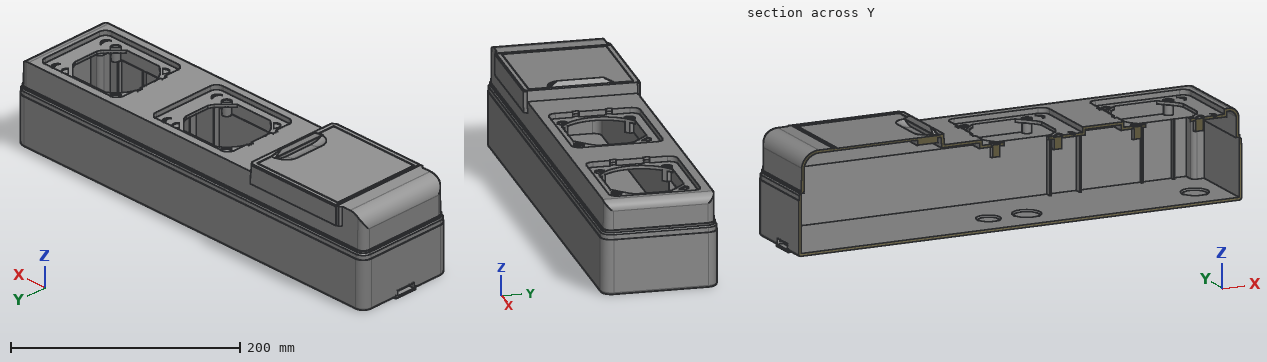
import cadquery as cq
import math

LENGTH = 430.0
WIDTH = 105.0
TOTAL_HEIGHT = 100.05
MID_X = LENGTH / 2
WALL = 3.0
CORNER_INSET = 10.0
OVERSHOOT = 5.0

FOOT_HEIGHT = 1.0
FLOOR_TOP = 4.0
RIM_BOTTOM = 52.0
RIM_STEP = 0.5
RIM_CHAMFER = 1.5
BASE_BOTTOM_FILLET = 2.5
SEAM_Z = 58.0

COVER_INSET = 2.7
SKIRT_INSET = 1.8
SKIRT_TOP = 60.0
COVER_TAPER = 0.5
DECK_Z = 85.8
HOOD_Z = 95.5
HOOD_ROUND = 17.0
DECK_ROUND = 10.0

LID_START = 29.0
LID_BOTTOM_Z = 75.6
LID_END_TOP = 141.0
LID_END_BOTTOM = 143.0
HINGE_END = 34.0
HINGE_INSET = 1.0
LID_CORNER_CHAMFER = 2.0
LID_FRONT_CHAMFER = 3.0
LID_EDGE_CHAMFER = 1.0
PANEL_X = (37.0, 136.4)
PANEL_HALF_WIDTH = 47.0
PANEL_DEPTH = 0.5
HINGE_GROOVE = 1.0


def rounded_block(inset, z_low, z_high, taper=0.0):
    """Upright block with the common outline drawn in by inset, corners rounded."""
    return (
        cq.Workplane("XY", origin=(MID_X, 0, z_low))
        .sketch()
        .rect(LENGTH - 2 * inset, WIDTH - 2 * inset)
        .vertices()
        .fillet(CORNER_INSET - inset)
        .finalize()
        .extrude(z_high - z_low, taper=taper)
    )


def box(x_range, y_range, z_range):
    """Axis-aligned box between the given limits."""
    size = [high - low for low, high in (x_range, y_range, z_range)]
    corner = (x_range[0], y_range[0], z_range[0])
    return cq.Workplane("XY").box(*size, centered=False).translate(corner)


def extruded_along_y(outline, half_width):
    """Extrude an XZ outline symmetrically about y = 0."""
    return outline.extrude(half_width, both=True)


FOOT_X = (82.0, 400.0)
FOOT_Y = 43.5
FOOT_DIAMETER = 8.5
PAD_HALF_WIDTH = 12.3
PADS_X = ((0.0, 33.0), (188.0, 218.0))
LATCH_HALF_WIDTH = 10.0
LATCH_Z = (2.0, 7.5)
LATCH_DEPTH = 6.0
KNOCKOUTS = ((200.0, 11.0), (237.0, 13.0), (400.0, 12.5))
KNOCKOUT_DEPTH = 1.5
RIB_THICKNESS = 1.5
WALL_OVERLAP = 0.5
RIBS = ((280.5, 6.0), (309.0, 7.0), (371.0, 3.0), (401.0, 4.0))
POST_X = 415.5
POST_Y = 37.0
POST_ROUND = 4.5


def make_ribs():
    """Thin upright ribs on the inside of both side walls."""
    ribs = cq.Workplane("XY")
    wall_y = WIDTH / 2 - WALL
    for x, reach in RIBS:
        rib = box((x, x + RIB_THICKNESS), (wall_y - reach, wall_y + WALL_OVERLAP), (FLOOR_TOP, SEAM_Z))
        ribs = ribs.union(rib).union(rib.mirror("XZ"))
    return ribs


def make_corner_posts():
    """Solid fillings of the two far inner corners."""
    post = (
        box((POST_X, LENGTH), (POST_Y, WIDTH / 2), (FLOOR_TOP, SEAM_Z))
        .edges("|Z and <X and <Y")
        .fillet(POST_ROUND)
        .intersect(rounded_block(WALL - WALL_OVERLAP, FLOOR_TOP, SEAM_Z))
    )
    return post.union(post.mirror("XZ"))


def make_base():
    body = rounded_block(0, FOOT_HEIGHT, RIM_BOTTOM).faces("<Z").edges().fillet(BASE_BOTTOM_FILLET)
    rim = rounded_block(RIM_STEP, RIM_BOTTOM, SEAM_Z).faces(">Z").edges().chamfer(RIM_CHAMFER)
    base = body.union(rim).cut(rounded_block(WALL, FLOOR_TOP, SEAM_Z))

    feet = (
        cq.Workplane("XY")
        .pushPoints([(x, side * FOOT_Y) for x in FOOT_X for side in (-1, 1)])
        .circle(FOOT_DIAMETER / 2)
        .extrude(FLOOR_TOP)
    )
    base = base.union(feet)
    for pad_x in PADS_X:
        base = base.union(box(pad_x, (-PAD_HALF_WIDTH, PAD_HALF_WIDTH), (0, FLOOR_TOP)))

    base = base.cut(box((0, LATCH_DEPTH), (-LATCH_HALF_WIDTH, LATCH_HALF_WIDTH), LATCH_Z))
    for x, radius in KNOCKOUTS:
        recess = (
            cq.Workplane("XY", origin=(x, 0, FLOOR_TOP - KNOCKOUT_DEPTH))
            .circle(radius - KNOCKOUT_DEPTH)
            .workplane(offset=KNOCKOUT_DEPTH)
            .circle(radius)
            .loft()
        )
        base = base.cut(recess)
    return base.union(make_ribs()).union(make_corner_posts())


def cover_side_profile(inset):
    """XZ outline of the cover: tall rounded hood at one end, low deck at the other."""
    left = inset
    right = LENGTH - inset
    hood_z = HOOD_Z - inset + COVER_INSET
    deck_z = DECK_Z - inset + COVER_INSET
    hood_round = HOOD_ROUND - inset + COVER_INSET
    deck_round = DECK_ROUND - inset + COVER_INSET
    lid_slope = (LID_END_BOTTOM - LID_END_TOP) / (HOOD_Z - LID_BOTTOM_Z)
    step_top = LID_END_TOP - inset + COVER_INSET
    step_bottom = step_top + lid_slope * (HOOD_Z - DECK_Z)
    half_way = 1 - math.sqrt(0.5)
    return (
        cq.Workplane("XZ")
        .moveTo(left, SEAM_Z)
        .lineTo(left, hood_z - hood_round)
        .threePointArc(
            (left + hood_round * half_way, hood_z - hood_round * half_way),
            (left + hood_round, hood_z),
        )
        .lineTo(step_top, hood_z)
        .lineTo(step_bottom, deck_z)
        .lineTo(right - deck_round, deck_z)
        .threePointArc(
            (right - deck_round * half_way, deck_z - deck_round * half_way),
            (right, deck_z - deck_round),
        )
        .lineTo(right, SEAM_Z)
        .close()
    )


def make_cover_solid(inset):
    block = rounded_block(inset, SEAM_Z, HOOD_Z + OVERSHOOT, COVER_TAPER)
    return block.intersect(extruded_along_y(cover_side_profile(inset), WIDTH / 2))


def make_lid():
    """Hinge strip and U-shaped lid wrapped over the hood."""
    hinge_half = WIDTH / 2 - HINGE_INSET
    hinge = (
        box((LID_START, HINGE_END), (-hinge_half, hinge_half), (LID_BOTTOM_Z, HOOD_Z))
        .edges("|Z and <X")
        .chamfer(LID_CORNER_CHAMFER)
    )
    outline = (
        cq.Workplane("XZ")
        .moveTo(HINGE_END, LID_BOTTOM_Z)
        .lineTo(HINGE_END, HOOD_Z)
        .lineTo(LID_END_TOP, HOOD_Z)
        .lineTo(LID_END_BOTTOM, LID_BOTTOM_Z)
        .close()
    )
    lid = (
        extruded_along_y(outline, WIDTH / 2)
        .faces(">X").edges("not |Y").chamfer(LID_FRONT_CHAMFER)
        .faces(">Z").edges().chamfer(LID_EDGE_CHAMFER)
    )
    return lid.union(hinge)


SCOOP_X = 132.6
SCOOP_REACH = 14.3
SCOOP_DEPTH = 4.5
SCOOP_RADIUS = (SCOOP_REACH**2 + SCOOP_DEPTH**2) / (2 * SCOOP_DEPTH)
SCOOP_CENTRE_Z = HOOD_Z - SCOOP_DEPTH + SCOOP_RADIUS
SCOOP_STRAIGHT = 15.0
LIP_X = (132.0, 133.5, 137.0)
LIP_CREST_HALF = 20.6
LIP_FOOT_HALF = 29.5


def make_scoop():
    scoop = extruded_along_y(
        cq.Workplane("XZ").center(SCOOP_X, SCOOP_CENTRE_Z).circle(SCOOP_RADIUS), SCOOP_STRAIGHT
    )
    for side in (-1, 1):
        end = cq.Workplane("XY").sphere(SCOOP_RADIUS)
        scoop = scoop.union(end.translate((SCOOP_X, side * SCOOP_STRAIGHT, SCOOP_CENTRE_Z)))
    half = WIDTH / 2
    return scoop.intersect(box((0, SCOOP_X), (-half, half), (LID_BOTTOM_Z, HOOD_Z + OVERSHOOT)))


def make_scoop_backing():
    """Block of material that keeps the scoop closed towards the inside."""
    half = SCOOP_STRAIGHT + SCOOP_REACH + WALL
    return box(
        (SCOOP_X - SCOOP_REACH - WALL, SCOOP_X + WALL),
        (-half, half),
        (HOOD_Z - SCOOP_DEPTH - WALL, HOOD_Z),
    )


def make_lip():
    section = cq.Workplane("XZ").polyline(
        [(LIP_X[0], HOOD_Z - PANEL_DEPTH), (LIP_X[1], TOTAL_HEIGHT), (LIP_X[2], HOOD_Z - PANEL_DEPTH)]
    ).close()
    elevation = cq.Workplane("YZ").polyline([
        (-LIP_FOOT_HALF, HOOD_Z - PANEL_DEPTH),
        (-LIP_CREST_HALF, TOTAL_HEIGHT),
        (LIP_CREST_HALF, TOTAL_HEIGHT),
        (LIP_FOOT_HALF, HOOD_Z - PANEL_DEPTH),
    ]).close().extrude(LENGTH)
    return extruded_along_y(section, WIDTH / 2).intersect(elevation)


SOCKET_X = (221.7, 358.9)
SEAT_X = (-43.0, 53.6)
SEAT_HALF_WIDTH = 41.0
SEAT_CORNER = 7.5
SEAT_DEPTH = 5.0
OPENING_RADIUS = 39.0
OPENING_HALF_WIDTH = 33.0
OPENING_FLAT_X = 36.6
SCREW_OFFSET = 30.0
SCREW_RADIUS = 4.8
SCREW_FLAT = 1.2
SCREW_DEPTH = 1.0
OPENING_CHORD = 37.5
LEDGE_THICKNESS = 3.0
BOSS_RADIUS = 4.3
BOSS_BOTTOM_Z = 68.2
RAIL_WIDTH = 3.0
NOTCH_Y = (12.2, 17.8)
NOTCH_DEPTH = 2.2
CRESCENT_START = (41.0, 35.7)
CRESCENT_END = (43.3, 25.0)
CRESCENT_OUTER = (46.8, 30.0)
CRESCENT_INNER = (44.0, 30.5)
SEAT_Z = DECK_Z - SEAT_DEPTH


def make_seat_recess():
    length = SEAT_X[1] - SEAT_X[0]
    recess = (
        cq.Workplane("XY", origin=(sum(SEAT_X) / 2, 0, SEAT_Z))
        .sketch()
        .rect(length, 2 * SEAT_HALF_WIDTH)
        .vertices()
        .fillet(SEAT_CORNER)
        .finalize()
        .extrude(SEAT_DEPTH)
    )
    for side in (-1, 1):
        y_range = sorted(side * y for y in NOTCH_Y)
        notch = box((SEAT_X[0] - NOTCH_DEPTH, SEAT_X[0]), y_range, (SEAT_Z, DECK_Z))
        recess = recess.union(notch)
    return recess


def make_opening():
    disc = cq.Workplane("XY", origin=(0, 0, SEAM_Z)).circle(OPENING_RADIUS).extrude(DECK_Z - SEAM_Z)
    limit = box(
        (-OPENING_RADIUS, OPENING_FLAT_X),
        (-OPENING_HALF_WIDTH, OPENING_HALF_WIDTH),
        (SEAM_Z, DECK_Z),
    )
    opening = disc.intersect(limit)
    chord = box(
        (-OPENING_RADIUS, OPENING_CHORD),
        (-OPENING_RADIUS, OPENING_RADIUS),
        (SEAM_Z, DECK_Z),
    )
    for angle in (-45, 45):
        opening = opening.intersect(chord.rotate((0, 0, 0), (0, 0, 1), angle))
    return opening


def make_screw_hole(angle):
    """D-shaped blind hole whose flat faces the socket axis."""
    distance = SCREW_OFFSET * math.sqrt(2)
    hole = cq.Workplane("XY").circle(SCREW_RADIUS).extrude(SCREW_DEPTH)
    keep = box((-SCREW_FLAT, SCREW_RADIUS), (-SCREW_RADIUS, SCREW_RADIUS), (0, SCREW_DEPTH))
    placed = hole.intersect(keep).translate((distance, 0, SEAT_Z - SCREW_DEPTH))
    return placed.rotate((0, 0, 0), (0, 0, 1), angle)


def make_crescent():
    return (
        cq.Workplane("XY", origin=(0, 0, SEAT_Z - SCREW_DEPTH))
        .moveTo(*CRESCENT_START)
        .threePointArc(CRESCENT_OUTER, CRESCENT_END)
        .threePointArc(CRESCENT_INNER, CRESCENT_START)
        .close()
        .extrude(SCREW_DEPTH)
    )


def make_socket_cut():
    cut = make_seat_recess().union(make_opening())
    for angle in (45, 135, 225, 315):
        cut = cut.union(make_screw_hole(angle))
    crescent = make_crescent()
    return cut.union(crescent).union(crescent.mirror("XZ"))


def make_seat_support():
    """Ledge under the seat with its four screw bosses and the rails joining them."""
    ledge = box(
        (SEAT_X[0] - WALL, SEAT_X[1] + WALL),
        (-SEAT_HALF_WIDTH - WALL, SEAT_HALF_WIDTH + WALL),
        (SEAT_Z - LEDGE_THICKNESS, DECK_Z),
    )
    bosses = (
        cq.Workplane("XY", origin=(0, 0, BOSS_BOTTOM_Z))
        .rect(2 * SCREW_OFFSET, 2 * SCREW_OFFSET, forConstruction=True)
        .vertices()
        .circle(BOSS_RADIUS)
        .extrude(SEAT_Z - BOSS_BOTTOM_Z)
    )
    support = ledge.union(bosses)
    rail = box(
        (-SCREW_OFFSET, SCREW_OFFSET),
        (OPENING_HALF_WIDTH, OPENING_HALF_WIDTH + RAIL_WIDTH),
        (BOSS_BOTTOM_Z, SEAT_Z),
    )
    return support.union(rail).union(rail.mirror("XZ"))


def make_lid_recesses():
    """Shallow panel inside the raised border, and the groove beside the hinge strip."""
    z_range = (HOOD_Z - PANEL_DEPTH, HOOD_Z)
    panel = box(PANEL_X, (-PANEL_HALF_WIDTH, PANEL_HALF_WIDTH), z_range)
    groove = box((HINGE_END, HINGE_END + HINGE_GROOVE), (-WIDTH / 2, WIDTH / 2), z_range)
    return panel.union(groove)


def make_cover():
    outer = make_cover_solid(COVER_INSET).union(rounded_block(SKIRT_INSET, SEAM_Z, SKIRT_TOP))
    cavity = make_cover_solid(COVER_INSET + WALL).cut(make_scoop_backing())
    for x in SOCKET_X:
        cavity = cavity.cut(make_seat_support().translate((x, 0, 0)))

    cover = outer.union(make_lid()).cut(cavity)
    cover = cover.cut(make_lid_recesses()).cut(make_scoop()).union(make_lip())
    for x in SOCKET_X:
        cover = cover.cut(make_socket_cut().translate((x, 0, 0)))
    return cover


base = make_base()
cover = make_cover()
result = cq.Compound.makeCompound([*base.solids().vals(), *cover.solids().vals()])